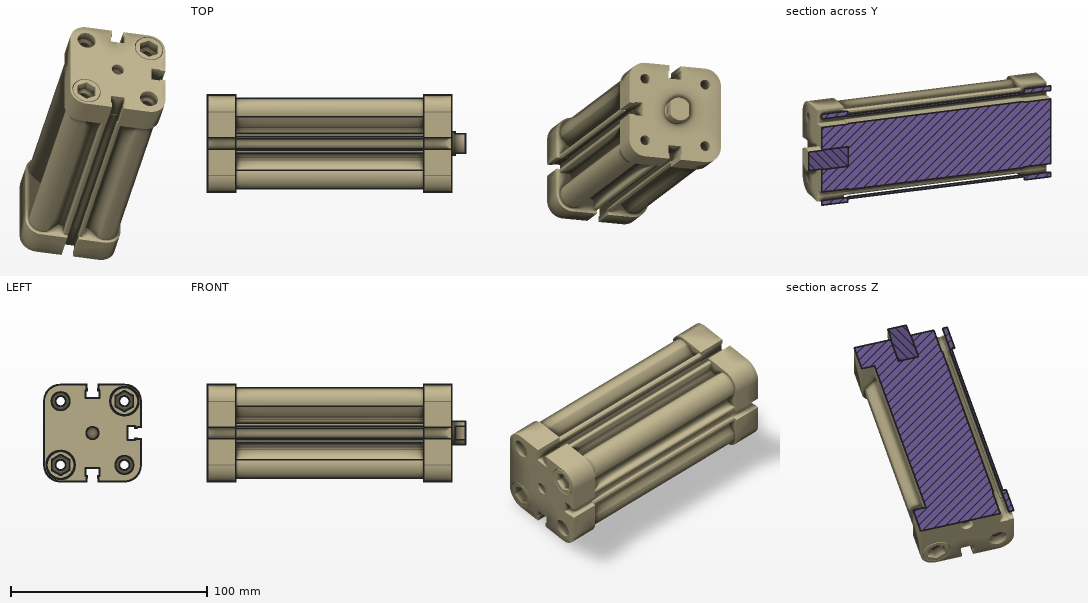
import cadquery as cq
import math


total_length = 131.5
rod_projection = 7.0
cap_length = 14.5
housing_length = total_length - rod_projection
barrel_length = housing_length - 2 * cap_length
front_cap_start = housing_length - cap_length

cap_side = 49.5
cap_half = cap_side / 2
bolt_pitch = 32.5
bolt_offset = bolt_pitch / 2
cap_corner_radius = cap_half - bolt_offset
cap_slot_mouth_width = 5.9
cap_slot_width = 7.0
cap_slot_mouth_depth = 2.8
cap_slot_depth = 7.1
centre_bore_diameter = 6.3
centre_bore_depth = 4.0

bolt_hole_diameter = 5.1
counterbore_diameter = 9.3
counterbore_depth = 5.0
screw_diameter = 14.0
screw_length = 9.2
screw_clearance = 0.4
screw_recess_diameter = screw_diameter + 2 * screw_clearance
socket_across_flats = 9.2
socket_across_corners = socket_across_flats / math.cos(math.pi / 6)
socket_depth = 5.5

boss_radius = 6.8
boss_distance = bolt_offset * math.sqrt(2)
barrel_half = bolt_offset + boss_radius
web_half_width = 6.3
root_fillet = 1.2
core_radius = 18.3
rail_width = 9.9
rail_half_width = rail_width / 2
rail_fillet = 0.8
slot_floor_height = 18.0
channel_width = 7.2
lip_gap = 5.1
lip_flare_width = 0.8
lip_flare_depth = 0.5
lip_thickness = 1.5

rod_diameter = 12.1
rod_across_flats = 10.0
rod_flat_length = 5.4
rod_flat_root_radius = 0.4
rod_chamfer = 0.3

slot_angles = [0, 90, 180]
corner_angles = [45, 135, 225, 315]
corners = [(y * bolt_offset, z * bolt_offset) for y in (-1, 1) for z in (-1, 1)]
screw_corners = [(y, z) for y, z in corners if y * z < 0]
open_corners = [(y, z) for y, z in corners if y * z > 0]


def section(x):
    """Workplane square to the cylinder axis, with local axes along Y and Z."""
    return cq.Workplane("YZ", origin=(x, 0, 0))


def turned(solid, angle):
    """Turn a solid about the cylinder axis."""
    return solid.rotate((0, 0, 0), (1, 0, 0), angle)


def make_cap(x):
    """Square end cap with rounded corners and an undercut slot in each slotted side."""
    cap = section(x).rect(cap_side, cap_side).extrude(cap_length)
    cap = cap.edges("|X").fillet(cap_corner_radius)
    mouth = (
        section(x)
        .center(0, cap_half - cap_slot_mouth_depth / 2)
        .rect(cap_slot_mouth_width, cap_slot_mouth_depth)
        .extrude(cap_length)
    )
    undercut_height = cap_slot_depth - cap_slot_mouth_depth
    undercut = (
        section(x)
        .center(0, cap_half - cap_slot_depth + undercut_height / 2)
        .rect(cap_slot_width, undercut_height)
        .extrude(cap_length)
    )
    slot = mouth.union(undercut)
    for angle in slot_angles:
        cap = cap.cut(turned(slot, angle))
    return cap


def make_corner_boss():
    """Web from the axis towards +Z, with flat flanks and a round outer end around the bolt."""
    flank_end = boss_distance + math.sqrt(boss_radius**2 - web_half_width**2)
    return (
        section(cap_length)
        .moveTo(-web_half_width, 0)
        .lineTo(-web_half_width, flank_end)
        .threePointArc((0, boss_distance + boss_radius), (web_half_width, flank_end))
        .lineTo(web_half_width, 0)
        .close()
        .extrude(barrel_length)
    )


def make_rail():
    """Rail carrying a sensor slot, pointing to +Z, with rounded outer edges."""
    rail = (
        section(cap_length)
        .center(0, barrel_half / 2)
        .rect(rail_width, barrel_half)
        .extrude(barrel_length)
    )
    return rail.edges("|X and >Z").fillet(rail_fillet)


def make_sensor_slot():
    """Slot with a flared mouth between two lips, over a wider channel down to the slot floor."""
    channel_half_width = channel_width / 2
    lip_gap_half = lip_gap / 2
    flare_half_width = lip_gap_half + lip_flare_width
    lip_underside = barrel_half - lip_thickness
    right_side = [
        (channel_half_width, slot_floor_height),
        (channel_half_width, lip_underside),
        (lip_gap_half, lip_underside),
        (lip_gap_half, barrel_half - lip_flare_depth),
        (flare_half_width, barrel_half),
    ]
    left_side = [(-y, z) for y, z in reversed(right_side)]
    return section(cap_length).polyline(right_side + left_side).close().extrude(barrel_length)


def fillet_roots(barrel, roots):
    """Round the lengthwise inside edges that pass through the given (Y, Z) points."""
    middle = cap_length + barrel_length / 2
    edges = [
        barrel.edges(cq.selectors.NearestToPointSelector((middle, y, z))).val()
        for y, z in roots
    ]
    return barrel.newObject(edges).fillet(root_fillet)


def core_point(angle):
    """Point (Y, Z) on the core circle, at an angle in radians turned about X from +Z."""
    return -core_radius * math.sin(angle), core_radius * math.cos(angle)


def make_barrel():
    """Round core with four corner bosses, and a slotted rail on three sides."""
    barrel = section(cap_length).circle(core_radius).extrude(barrel_length)
    for angle in corner_angles:
        barrel = barrel.union(turned(make_corner_boss(), angle))
    for angle in slot_angles:
        barrel = barrel.union(turned(make_rail(), angle))

    web_half_angle = math.asin(web_half_width / core_radius)
    web_roots = [
        core_point(math.radians(angle) + side * web_half_angle)
        for angle in corner_angles
        for side in (-1, 1)
    ]
    rail_half_angle = math.asin(rail_half_width / core_radius)
    rail_roots = [
        core_point(math.radians(angle) + side * rail_half_angle)
        for angle in slot_angles
        for side in (-1, 1)
    ]
    barrel = fillet_roots(barrel, web_roots)
    barrel = fillet_roots(barrel, rail_roots)

    for angle in slot_angles:
        barrel = barrel.cut(turned(make_sensor_slot(), angle))
    return barrel


def make_housing():
    """Barrel and both caps, with the bolt holes, screw recesses and rod seat."""
    housing = make_barrel().union(make_cap(0)).union(make_cap(front_cap_start))
    bolt_holes = section(0).pushPoints(corners).circle(bolt_hole_diameter / 2).extrude(housing_length)
    counterbores = (
        section(0).pushPoints(open_corners).circle(counterbore_diameter / 2).extrude(counterbore_depth)
    )
    screw_recesses = (
        section(0).pushPoints(screw_corners).circle(screw_recess_diameter / 2).extrude(screw_length)
    )
    centre_bore = section(0).circle(centre_bore_diameter / 2).extrude(centre_bore_depth)
    rod_seat = section(front_cap_start).circle(rod_diameter / 2).extrude(cap_length)
    for cutter in (bolt_holes, counterbores, screw_recesses, centre_bore, rod_seat):
        housing = housing.cut(cutter)
    return housing


def make_socket_screw(y, z):
    """Hollow screw head with a hexagon socket, its face flush with the rear cap."""
    head = section(0).center(y, z).circle(screw_diameter / 2).extrude(screw_length)
    bore = section(0).center(y, z).circle(bolt_hole_diameter / 2).extrude(screw_length)
    socket = section(0).polygon(6, socket_across_corners).extrude(socket_depth)
    socket = turned(socket, 90).translate((0, y, z))
    return head.cut(bore).cut(socket)


def make_rod():
    """Piston rod seated in the front cap, with two wrench flats facing -Y and +Y."""
    rod_length = cap_length + rod_projection
    rod = section(front_cap_start).circle(rod_diameter / 2).extrude(rod_length)
    rod = rod.faces(">X").chamfer(rod_chamfer)
    flat_start = total_length - rod_flat_length
    for side in (-1, 1):
        flat_cutter = (
            section(flat_start)
            .center(side * (rod_across_flats + rod_diameter) / 2, 0)
            .rect(rod_diameter, rod_diameter)
            .extrude(rod_flat_length)
        )
        inner_side = ">Y" if side < 0 else "<Y"
        flat_cutter = flat_cutter.faces(inner_side).edges("<X").fillet(rod_flat_root_radius)
        rod = rod.cut(flat_cutter)
    return rod


housing = make_housing()
rod = make_rod()
screws = [make_socket_screw(y, z) for y, z in screw_corners]

result = cq.Compound.makeCompound(
    [housing.val(), rod.val(), *[screw.val() for screw in screws]]
)